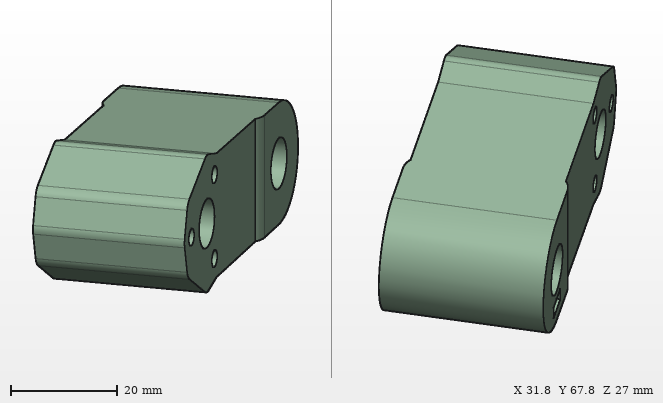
import cadquery as cq
import math


pivot_width = 31.75
body_width = 30.0
pivot_radius = 12.0
bore_spacing = 41.92
lobe_y = -bore_spacing

shoulder_setback = 6.0
top_shoulder_height = 12.1
bottom_shoulder_depth = 12.27
crest_reach = 0.1
top_crest_height = 13.6
bottom_crest_depth = 13.75
corner_reach = 11.88
corner_half_height = 7.29
tip_reach = 14.015
lobe_corner_radius = 3.0

runout_start_y = -9.1
runout_length = 2.74
side_step = (pivot_width - body_width) / 2
runout_radius = (runout_length**2 + side_step**2) / (2 * side_step)

pivot_bore_diameter = 9.9
lobe_bore_diameter = 9.525
bolt_hole_diameter = 3.3
bolt_circle_radius = 9.525
bolt_count = 3

nut_across_flats = 5.9
nut_slot_height = 2.5
nut_slot_z = -8.1
nut_half_sector = math.pi / 6
nut_across_corners = nut_across_flats / math.cos(nut_half_sector)
nut_slot_depth = nut_across_corners
nut_flat_length = nut_across_corners / 2


def make_side_profile():
    """Body with the full outline in the YZ plane, extruded to the pivot width."""
    outline = (
        cq.Workplane("YZ")
        .moveTo(0, pivot_radius)
        .lineTo(lobe_y + shoulder_setback, top_shoulder_height)
        .lineTo(lobe_y - crest_reach, top_crest_height)
        .lineTo(lobe_y - corner_reach, corner_half_height)
        .lineTo(lobe_y - tip_reach, 0)
        .lineTo(lobe_y - corner_reach, -corner_half_height)
        .lineTo(lobe_y - crest_reach, -bottom_crest_depth)
        .lineTo(lobe_y + shoulder_setback, -bottom_shoulder_depth)
        .lineTo(0, -pivot_radius)
        .threePointArc((pivot_radius, 0), (0, pivot_radius))
        .close()
    )
    body = outline.extrude(pivot_width / 2, both=True)
    lobe_corners = cq.selectors.BoxSelector(
        (-pivot_width, lobe_y - 2 * tip_reach, -2 * pivot_radius),
        (pivot_width, lobe_y + shoulder_setback / 2, 2 * pivot_radius),
    )
    return body.edges("|X").edges(lobe_corners).fillet(lobe_corner_radius)


def make_side_relief():
    """Material removed from the +X side to narrow the shank and the lobe."""
    outer_x = pivot_width / 2
    inner_x = body_width / 2
    end_y = lobe_y - 2 * tip_reach
    mid_angle = math.asin(runout_length / runout_radius) / 2
    arc_middle = (
        outer_x - runout_radius * (1 - math.cos(mid_angle)),
        runout_start_y - runout_radius * math.sin(mid_angle),
    )
    return (
        cq.Workplane("XY")
        .moveTo(outer_x, runout_start_y)
        .threePointArc(arc_middle, (inner_x, runout_start_y - runout_length))
        .lineTo(inner_x, end_y)
        .lineTo(outer_x, end_y)
        .close()
        .extrude(2 * pivot_radius, both=True)
    )


def make_cross_hole(y, z, diameter):
    """Cylinder along X that passes through the full width."""
    return cq.Workplane("YZ").center(y, z).circle(diameter / 2).extrude(pivot_width, both=True)


def make_nut_slot():
    """Straight-walled slot whose floor is the 120 degree point of a hexagon."""
    outer_x = -pivot_width / 2
    floor_x = outer_x + nut_slot_depth
    wall_end_x = floor_x - nut_flat_length / 2
    half_flats = nut_across_flats / 2
    return (
        cq.Workplane("XY", origin=(0, 0, nut_slot_z - nut_slot_height / 2))
        .moveTo(outer_x, -half_flats)
        .lineTo(wall_end_x, -half_flats)
        .lineTo(floor_x, 0)
        .lineTo(wall_end_x, half_flats)
        .lineTo(outer_x, half_flats)
        .close()
        .extrude(nut_slot_height)
    )


result = make_side_profile()

side_relief = make_side_relief()
result = result.cut(side_relief).cut(side_relief.mirror("YZ"))

result = result.cut(make_cross_hole(0, 0, pivot_bore_diameter))
result = result.cut(make_cross_hole(lobe_y, 0, lobe_bore_diameter))
for i in range(bolt_count):
    angle = 2 * math.pi * i / bolt_count
    bolt_y = lobe_y - bolt_circle_radius * math.cos(angle)
    bolt_z = bolt_circle_radius * math.sin(angle)
    result = result.cut(make_cross_hole(bolt_y, bolt_z, bolt_hole_diameter))

result = result.cut(make_nut_slot())